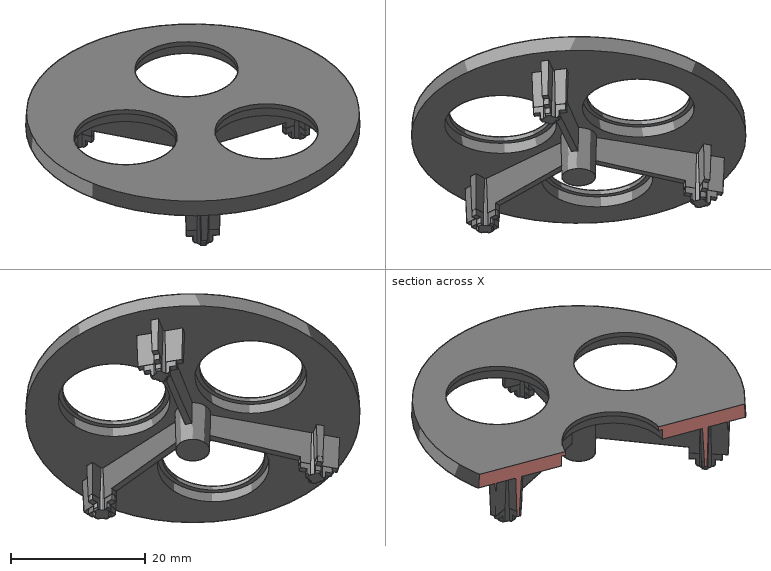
import cadquery as cq


DRAFT = 1.5
HOLE_COUNT = 3
SPACING = 360 / HOLE_COUNT

PLATE_DIAMETER = 49.8
PLATE_THICKNESS = 2.5
RIM_DRAFT = 3.0

HOLE_PITCH_RADIUS = 12.15
HOLE_DIAMETER = 15.35
SEAT_DIAMETER = 16.65
LIP_THICKNESS = 0.75

BOSS_TIP_DIAMETER = 5.0
BOSS_HEIGHT = 7.0

POST_PITCH_RADIUS = 18.95
POST_HEIGHT = 8.2
SHOULDER_DEPTH = 6.0
COLLAR_DEPTH = BOSS_HEIGHT
WING_REACH = 3.55
SHORT_WING_REACH = 2.65
WING_THICKNESS = 1.2
STEM_THICKNESS = 0.85
CORE_DIAMETER = 2.0
COLLAR_DIAMETER = 5.0
PIN_DIAMETER = 3.0
PIN_CHAMFER = 0.25

RIB_DEPTH_AT_BOSS = 4.0
RIB_DEPTH_AT_POST = 4.95


def turned(body, angle):
    """The body turned about the plate axis by an angle in degrees."""
    return body.rotate((0, 0, 0), (0, 0, 1), angle)


def drafted_slab(length, width, depth, center_x=0):
    """Block hanging from z = 0 whose four sides lean inwards going down."""
    return (
        cq.Workplane("XY", origin=(center_x, 0, 0))
        .rect(length, width)
        .extrude(-depth, taper=DRAFT)
    )


def cylinder_down(diameter, depth):
    """Cylinder hanging from z = 0."""
    return cq.Workplane("XY").circle(diameter / 2).extrude(-depth)


def make_plate():
    return cq.Workplane("XY").circle(PLATE_DIAMETER / 2).extrude(PLATE_THICKNESS, taper=RIM_DRAFT)


def make_hole():
    through = cq.Workplane("XY").circle(HOLE_DIAMETER / 2).extrude(PLATE_THICKNESS)
    seat = cq.Workplane("XY").circle(SEAT_DIAMETER / 2).extrude(PLATE_THICKNESS - LIP_THICKNESS)
    return through.union(seat).translate((HOLE_PITCH_RADIUS, 0, 0))


def make_boss():
    return (
        cq.Workplane("XY", origin=(0, 0, -BOSS_HEIGHT))
        .circle(BOSS_TIP_DIAMETER / 2)
        .extrude(BOSS_HEIGHT, taper=-DRAFT)
    )


def make_rib_and_radial_wing():
    """One slab from the plate axis to the outer wing tip of the post.

    Its lower edge slopes from the boss to the post and then steps down to the shoulder.
    """
    tip_radius = POST_PITCH_RADIUS + WING_REACH
    boss_radius = BOSS_TIP_DIAMETER / 2
    post_inner_radius = POST_PITCH_RADIUS - COLLAR_DIAMETER / 2
    slab = drafted_slab(tip_radius, WING_THICKNESS, SHOULDER_DEPTH, tip_radius / 2)
    side_outline = (
        cq.Workplane("XZ")
        .moveTo(boss_radius / 2, 0)
        .lineTo(boss_radius / 2, -RIB_DEPTH_AT_BOSS)
        .lineTo(boss_radius, -RIB_DEPTH_AT_BOSS)
        .lineTo(post_inner_radius, -RIB_DEPTH_AT_POST)
        .lineTo(post_inner_radius, -SHOULDER_DEPTH)
        .lineTo(tip_radius, -SHOULDER_DEPTH)
        .lineTo(tip_radius, 0)
        .close()
        .extrude(WING_THICKNESS, both=True)
    )
    return slab.intersect(side_outline)


def make_stem():
    """Crossed wings below the shoulder, turned down to a collar and a chamfered pin."""
    wing_along_x = (
        cq.Workplane("XY")
        .rect(COLLAR_DIAMETER, STEM_THICKNESS)
        .extrude(-POST_HEIGHT)
    )
    cross = wing_along_x.union(turned(wing_along_x, 90))
    core = cylinder_down(CORE_DIAMETER, POST_HEIGHT)
    collar = cylinder_down(COLLAR_DIAMETER, COLLAR_DEPTH)
    pin = cylinder_down(PIN_DIAMETER, POST_HEIGHT).faces("<Z").chamfer(PIN_CHAMFER)
    return cross.union(core).intersect(collar.union(pin))


def make_leg(tangential_reach):
    """Post on +X together with its rib."""
    tangential_wing = drafted_slab(WING_THICKNESS, 2 * tangential_reach, SHOULDER_DEPTH)
    post = tangential_wing.union(make_stem()).translate((POST_PITCH_RADIUS, 0, 0))
    return post.union(make_rib_and_radial_wing())


result = make_plate().union(make_boss())

for i in range(HOLE_COUNT):
    hole_angle = i * SPACING
    result = result.cut(turned(make_hole(), hole_angle))

WIDE_LEG_ANGLE = 180
result = result.union(turned(make_leg(WING_REACH), WIDE_LEG_ANGLE))
for leg_angle in (WIDE_LEG_ANGLE - SPACING, WIDE_LEG_ANGLE + SPACING):
    result = result.union(turned(make_leg(SHORT_WING_REACH), leg_angle))